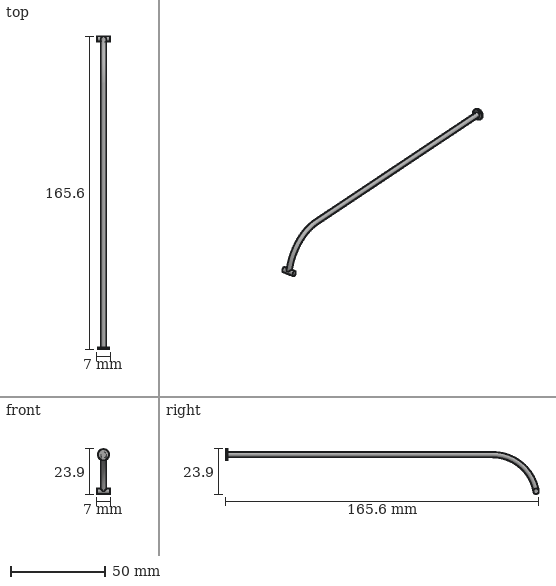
import cadquery as cq
import math

ROD_DIAMETER = 3.0
ROD_LENGTH = 140.0
HEAD_DIAMETER = 6.0
HEAD_THICKNESS = 1.0
BEND_OUTER_RADIUS = 25.0
BEND_ANGLE = 80.0
PIN_DIAMETER = ROD_DIAMETER
PIN_LENGTH = 7.0

bend_start = HEAD_THICKNESS + ROD_LENGTH
bend_radius = BEND_OUTER_RADIUS - ROD_DIAMETER / 2

bend_angle_rad = math.radians(BEND_ANGLE)
pin_y = bend_start + bend_radius * math.sin(bend_angle_rad)
pin_z = -bend_radius * (1 - math.cos(bend_angle_rad))


def cylinder_along_y(diameter, start, length):
    """Cylinder on the Y axis, growing toward +Y from the given start."""
    base = cq.Vector(0, start, 0)
    direction = cq.Vector(0, 1, 0)
    return cq.Workplane(cq.Solid.makeCylinder(diameter / 2, length, base, direction))


def make_head():
    """Flat round head that closes the straight end of the rod."""
    return cylinder_along_y(HEAD_DIAMETER, 0, HEAD_THICKNESS)


def make_straight_rod():
    return cylinder_along_y(ROD_DIAMETER, HEAD_THICKNESS, ROD_LENGTH)


def make_bend():
    """Round bar revolved downward about an X-parallel axis below the rod."""
    section = cq.Workplane("XZ", origin=(0, bend_start, 0)).circle(ROD_DIAMETER / 2)
    axis_start = (0, -bend_radius)
    axis_end = (-1, -bend_radius)
    return section.revolve(BEND_ANGLE, axis_start, axis_end)


def make_cross_pin():
    """Pin across the end of the bend, centred on the rod in X."""
    section = cq.Workplane("YZ", origin=(0, pin_y, pin_z)).circle(PIN_DIAMETER / 2)
    return section.extrude(PIN_LENGTH / 2, both=True)


result = make_head().union(make_straight_rod()).union(make_bend()).union(make_cross_pin())